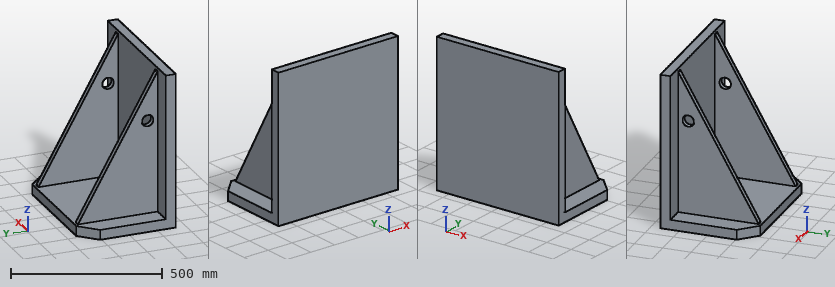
import cadquery as cq

width = 500.0
depth = 330.0
height = 550.0
plate_thickness = 36.0

corner_cut = 60.0

rib_thickness = 20.0
rib_side_inset = 70.5
rib_rear_gap = 10.0
rib_top_gap = 12.0

hole_diameter = 40.0
hole_y = 71.5
hole_z = 367.0


def make_base():
    """Horizontal plate with its two rear corners cut off."""
    plate = cq.Workplane("XY").box(width, depth, plate_thickness, centered=(True, False, False))
    return plate.edges("|Z and >Y").chamfer(corner_cut)


def make_upright():
    """Vertical plate along the front edge of the base."""
    return cq.Workplane("XY").box(width, plate_thickness, height, centered=(True, False, False))


def make_rib(x_start):
    """Drilled triangular rib standing in the corner between the plates."""
    rib = (
        cq.Workplane("YZ", origin=(x_start, 0, 0))
        .moveTo(plate_thickness, plate_thickness)
        .lineTo(depth - rib_rear_gap, plate_thickness)
        .lineTo(plate_thickness, height - rib_top_gap)
        .close()
        .extrude(rib_thickness)
    )
    hole = (
        cq.Workplane("YZ", origin=(x_start, 0, 0))
        .center(hole_y, hole_z)
        .circle(hole_diameter / 2)
        .extrude(rib_thickness)
    )
    return rib.cut(hole)


left_rib_x = -width / 2 + rib_side_inset
right_rib_x = width / 2 - rib_side_inset - rib_thickness

result = make_base().union(make_upright())
for rib_x in (left_rib_x, right_rib_x):
    result = result.union(make_rib(rib_x))